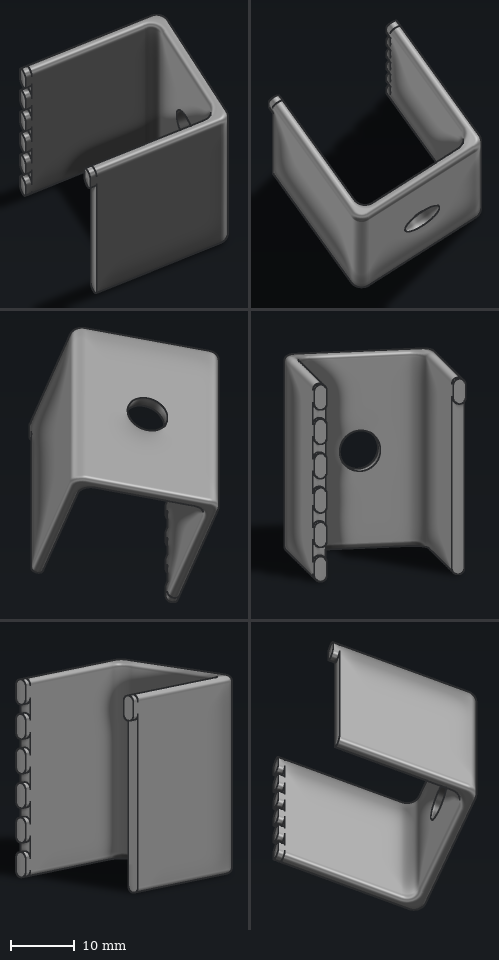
import cadquery as cq

width = 24.22
depth = 25.0
height = 31.5
wall = 2.02
bend_radius = 2.02
hole_diameter = 6.5

tooth_length = 1.1
tooth_height = 2 * wall
tooth_count = 6
tooth_pitch = (height - tooth_height) / (tooth_count - 1)

flat_sliver = 0.005
edge_radius = (wall - flat_sliver) / 2

arm_depth = depth - tooth_length
arm_center_x = (width - wall) / 2
top_tooth_z = (height - tooth_height) / 2
arm_end_y = tooth_length - depth / 2


def make_channel():
    """U-shaped channel with bent corners and rounded top and bottom rims."""
    outer = (
        cq.Workplane("XY")
        .box(width, arm_depth, height)
        .edges("|Z and >Y")
        .fillet(bend_radius)
    )
    inner = (
        cq.Workplane("XY")
        .box(width - 2 * wall, arm_depth, height)
        .edges("|Z and >Y")
        .fillet(bend_radius)
        .translate((0, -wall, 0))
    )
    channel = outer.cut(inner)
    rims = channel.faces("|Z").edges().edges("not(<Y)")
    return rims.fillet(edge_radius).translate((0, tooth_length / 2, 0))


def make_tooth(x, z):
    """Round-ended tooth projecting toward -Y from the end of an arm."""
    return (
        cq.Workplane("XZ", origin=(x, arm_end_y, z))
        .slot2D(tooth_height, wall, 90)
        .extrude(tooth_length)
    )


result = make_channel()

for index in range(tooth_count):
    tooth_z = top_tooth_z - index * tooth_pitch
    result = result.union(make_tooth(-arm_center_x, tooth_z))

result = result.union(make_tooth(arm_center_x, top_tooth_z))

hole = (
    cq.Workplane("XZ", origin=(0, depth / 2, 0))
    .circle(hole_diameter / 2)
    .extrude(2 * wall)
)
result = result.cut(hole)